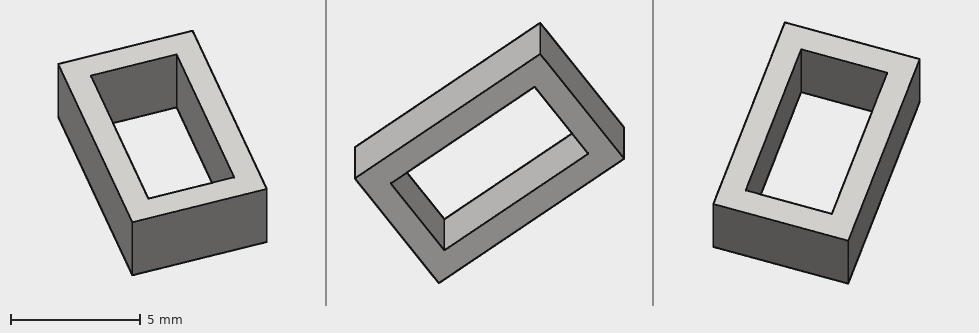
import cadquery as cq

length = 8.9
width = 5.5
height = 3.0

wall = 1.0
opening_length = length - 2 * wall
opening_width = width - 2 * wall

result = (
    cq.Workplane("XY")
    .rect(length, width)
    .rect(opening_length, opening_width)
    .extrude(height)
)